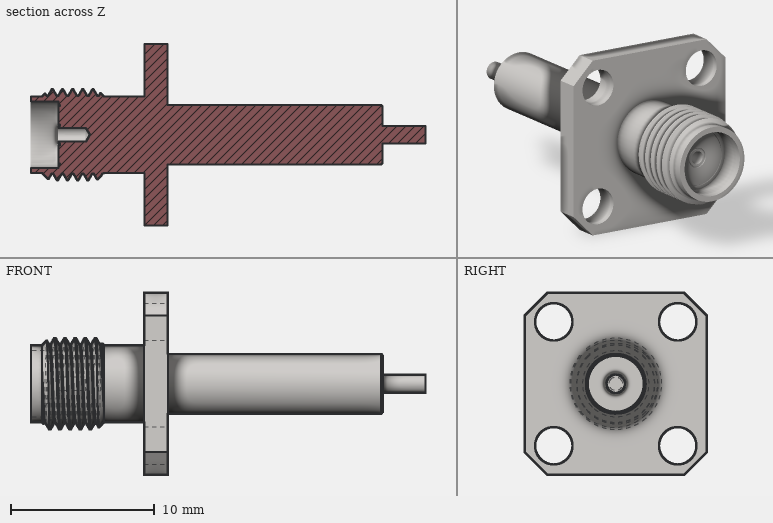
import cadquery as cq

total_length = 27.48
flange_start = 7.9
flange_thickness = 1.65
flange_end = flange_start + flange_thickness
sleeve_end = 24.5

flange_size = 12.7
flange_corner_chamfer = 1.6
hole_spacing = 8.63
hole_diameter = 2.58

barrel_radius = 2.7
sleeve_radius = 2.1
sleeve_chamfer = 0.15
pin_radius = 0.63

thread_start = 0.77
thread_end = 5.08
thread_radius = 3.2
pitch_count = 7
pitch_span = 4.95
thread_pitch = pitch_span / pitch_count
crest_width = 0.08
groove_root_width = 0.08
groove_root_radius = 2.72
groove_overshoot = 0.1
groove_turns = 9
cut_tolerance = 0.001
first_crest = 1.32
lead_in_turns = 2

mouth_radius = 2.3
mouth_depth = 1.9
gap_depth = 0.1
dielectric_radius = 2.0
dielectric_bore_radius = 2.05
contact_radius = pin_radius
contact_clearance_radius = 0.71
socket_radius = 0.47
socket_depth = 1.92
socket_tip_length = 0.27


def cylinder(start, end, radius):
    """Solid cylinder on the X axis."""
    return cq.Workplane("YZ").workplane(offset=start).circle(radius).extrude(end - start)


def make_flange():
    flange = (
        cq.Workplane("YZ")
        .workplane(offset=flange_start)
        .rect(flange_size, flange_size)
        .extrude(flange_thickness)
        .edges("|X")
        .chamfer(flange_corner_chamfer)
    )
    holes = (
        cq.Workplane("YZ")
        .workplane(offset=flange_start)
        .rect(hole_spacing, hole_spacing, forConstruction=True)
        .vertices()
        .circle(hole_diameter / 2)
        .extrude(flange_thickness)
    )
    return flange.cut(holes)


def make_threaded_barrel():
    """Barrel with a raised collar, cone-ended at 45 degrees, cut by a helical V groove."""
    rise = thread_radius - barrel_radius
    blank = (
        cq.Workplane("XY")
        .polyline([
            (0, 0),
            (0, barrel_radius),
            (thread_start, barrel_radius),
            (thread_start + rise, thread_radius),
            (thread_end - rise, thread_radius),
            (thread_end, barrel_radius),
            (flange_start, barrel_radius),
            (flange_start, 0),
        ])
        .close()
        .revolve(360, (0, 0, 0), (1, 0, 0))
    )
    helix = cq.Wire.makeHelix(thread_pitch, thread_pitch * groove_turns, barrel_radius)
    half_root = groove_root_width / 2
    half_mouth = (thread_pitch - crest_width) / 2
    overshoot_radius = thread_radius + groove_overshoot
    groove = (
        cq.Workplane("XZ")
        .polyline([
            (groove_root_radius, -half_root),
            (thread_radius, -half_mouth),
            (overshoot_radius, -half_mouth),
            (overshoot_radius, half_mouth),
            (thread_radius, half_mouth),
            (groove_root_radius, half_root),
        ])
        .close()
        .sweep(cq.Workplane(obj=helix), isFrenet=True)
        .rotate((0, 0, 0), (0, 1, 0), 90)
        .translate((first_crest - (lead_in_turns + 0.5) * thread_pitch, 0, 0))
    )
    return blank.cut(groove, tol=cut_tolerance)


def ring_gap(inner_radius, outer_radius):
    """Shallow ring groove in the face at the bottom of the mouth."""
    gap_end = mouth_depth + gap_depth
    return cylinder(mouth_depth, gap_end, outer_radius).cut(cylinder(mouth_depth, gap_end, inner_radius))


def make_socket():
    """Round contact hole with a conical bottom."""
    straight_end = mouth_depth + socket_depth
    return (
        cq.Workplane("XY")
        .moveTo(mouth_depth, 0)
        .lineTo(mouth_depth, socket_radius)
        .lineTo(straight_end, socket_radius)
        .lineTo(straight_end + socket_tip_length, 0)
        .close()
        .revolve(360, (0, 0, 0), (1, 0, 0))
    )


sleeve = cylinder(flange_end, sleeve_end, sleeve_radius).faces(">X").chamfer(sleeve_chamfer)
pin = cylinder(sleeve_end, total_length, pin_radius)
mouth = cylinder(0, mouth_depth, mouth_radius)
dielectric_gap = ring_gap(dielectric_radius, dielectric_bore_radius)
contact_gap = ring_gap(contact_radius, contact_clearance_radius)

result = (
    make_threaded_barrel()
    .union(make_flange())
    .union(sleeve)
    .union(pin)
    .cut(mouth)
    .cut(dielectric_gap)
    .cut(contact_gap)
    .cut(make_socket())
)